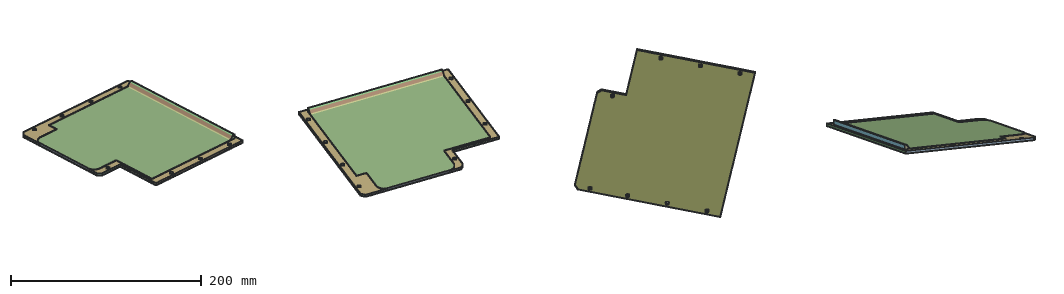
import cadquery as cq
import math

plate_width = 172.5
plate_depth = 156.8
plate_thickness = 3.0
tab_width = 118.5
tab_depth = 30.2
corner_chamfer = 4.0

pad_height = 0.5
pad_side_margin = 8.8
pad_back_margin = 3.3
pad_front = 32.8
tongue_left = 20.4
tongue_right = 110.1
tongue_radius = 9.0

total_height = 7.8
ridge_crest_width = 1.4
ridge_slope = math.radians(50)
ridge_shoulder_radius = 2.0
ridge_toe_radius = 1.7

hole_diameter = 3.6
hole_margin = 4.0
side_hole_first = 56.6
side_hole_pitch = 42.5
side_hole_count = 3
tab_hole_y = 16.2

pad_left = pad_side_margin
pad_right = plate_width - pad_side_margin
pad_back = plate_depth - pad_back_margin
pad_top = plate_thickness + pad_height


def make_plate():
    """Plate whose full width stops short of the front, leaving the chamfered tab."""
    return (
        cq.Workplane("XY")
        .moveTo(corner_chamfer, 0)
        .lineTo(tab_width - corner_chamfer, 0)
        .lineTo(tab_width, corner_chamfer)
        .lineTo(tab_width, tab_depth)
        .lineTo(plate_width, tab_depth)
        .lineTo(plate_width, plate_depth)
        .lineTo(0, plate_depth)
        .lineTo(0, corner_chamfer)
        .close()
        .extrude(plate_thickness)
    )


def make_pad():
    """Thin pad whose tongue reaches the front edge between two rounded corners."""
    return (
        cq.Workplane("XY", origin=(0, 0, plate_thickness))
        .moveTo(tongue_left + tongue_radius, 0)
        .lineTo(tongue_right - tongue_radius, 0)
        .radiusArc((tongue_right, tongue_radius), -tongue_radius)
        .lineTo(tongue_right, pad_front)
        .lineTo(pad_right, pad_front)
        .lineTo(pad_right, pad_back)
        .lineTo(pad_left, pad_back)
        .lineTo(pad_left, pad_front)
        .lineTo(tongue_left, pad_front)
        .lineTo(tongue_left, tongue_radius)
        .radiusArc((tongue_left + tongue_radius, 0), -tongue_radius)
        .close()
        .extrude(pad_height)
    )


def make_ridge():
    """Ridge with an upright back, a rounded shoulder, a sloping front and a concave toe."""
    run_per_radius = math.sin(ridge_slope)
    drop_per_radius = 1 - math.cos(ridge_slope)
    crest_y = pad_back - ridge_crest_width
    shoulder_y = crest_y - ridge_shoulder_radius * run_per_radius
    shoulder_z = total_height - ridge_shoulder_radius * drop_per_radius
    toe_z = pad_top + ridge_toe_radius * drop_per_radius
    toe_y = shoulder_y - (shoulder_z - toe_z) / math.tan(ridge_slope)
    ridge_front = toe_y - ridge_toe_radius * run_per_radius
    return (
        cq.Workplane("YZ", origin=(pad_left, 0, 0))
        .moveTo(pad_back, plate_thickness)
        .lineTo(pad_back, total_height)
        .lineTo(crest_y, total_height)
        .radiusArc((shoulder_y, shoulder_z), -ridge_shoulder_radius)
        .lineTo(toe_y, toe_z)
        .radiusArc((ridge_front, pad_top), ridge_toe_radius)
        .lineTo(ridge_front, plate_thickness)
        .close()
        .extrude(pad_right - pad_left)
    )


def make_holes():
    """Cutters for the screw holes along both sides and on the tab."""
    centres = [(hole_margin, tab_hole_y), (tab_width - hole_margin, tab_hole_y)]
    for index in range(side_hole_count):
        y = side_hole_first + index * side_hole_pitch
        centres.append((hole_margin, y))
        centres.append((plate_width - hole_margin, y))
    return (
        cq.Workplane("XY")
        .pushPoints(centres)
        .circle(hole_diameter / 2)
        .extrude(plate_thickness)
    )


result = make_plate().union(make_pad()).union(make_ridge()).cut(make_holes())